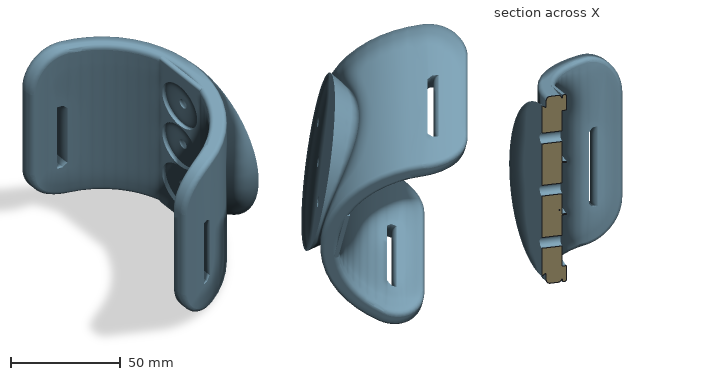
import cadquery as cq
import math

overall_width = 113.9
wall = 8.0
edge_fillet = 2.0
outer_radius = math.hypot(overall_width / 2, edge_fillet)
inner_radius = outer_radius - wall
height = 90.0
corner_radius = 20.0

foot_face_y = 59.0
foot_face_radius = 41.1
foot_depth = 13.7
foot_taper = 0.62
foot_inner_radius = foot_face_radius - foot_taper * foot_depth

pad_width = 28.0
pad_thickness = 2.2
pad_fillet = 1.0
pad_face_y = inner_radius - pad_thickness
hole_diameter = 4.9
pocket_diameter = 24.4
pocket_depth = 2.0
hole_pitch = 25.1

slot_far_y = 18.3
slot_bar_x = 51.3
slot_bar_y = 9.0
slot_bar_radius = 6.2
slot_length = 18.2
slot_height = 38.3
slot_center_z = -8.0
slot_chamfer = 2.0


def make_cuff():
    """Half ring with rounded free corners and softened edges."""
    ring = cq.Workplane("XY").circle(outer_radius).circle(inner_radius).extrude(height / 2, both=True)
    outline = (
        cq.Workplane("YZ")
        .rect(2 * outer_radius, height)
        .extrude(outer_radius, both=True)
        .translate((0, outer_radius, 0))
        .edges("|X and <Y")
        .fillet(corner_radius)
    )
    return ring.intersect(outline).edges("not |X").fillet(edge_fillet)


def make_foot():
    """Cone narrowing from the mounting face, cut away inside the cuff."""
    cone = cq.Workplane(
        cq.Solid.makeCone(
            foot_face_radius, foot_inner_radius, foot_depth,
            pnt=cq.Vector(0, foot_face_y, 0), dir=cq.Vector(0, -1, 0),
        )
    )
    bore = cq.Workplane("XY").circle(inner_radius).extrude(height / 2, both=True)
    return cone.cut(bore)


def make_pad():
    """Slab touching the inner wall, rounded along its top and bottom front edges."""
    slab = cq.Workplane("XY").box(pad_width, pad_thickness, height)
    slab = slab.edges("|X and <Y").fillet(pad_fillet)
    return slab.translate((0, pad_face_y + pad_thickness / 2, 0))


def make_hole(z):
    """Through hole with a shallow round pocket in the pad face."""
    plane = cq.Workplane("XZ", origin=(0, pad_face_y, z))
    pocket = plane.circle(pocket_diameter / 2).extrude(-pocket_depth)
    bore = plane.circle(hole_diameter / 2).extrude(pad_face_y - foot_face_y)
    return pocket.union(bore)


def make_strap_slot(side):
    """Slot through a side wall, chamfered at its far corners, passing over a round bar."""
    slot_width = slot_far_y - slot_bar_y
    slot = cq.Workplane("XY").box(slot_length, slot_width, slot_height)
    slot = slot.edges("|X and >Y").chamfer(slot_chamfer)
    slot = slot.translate((slot_bar_x, slot_bar_y + slot_width / 2, 0))
    bar = (
        cq.Workplane("XY")
        .center(slot_bar_x, slot_bar_y)
        .circle(slot_bar_radius)
        .extrude(slot_height / 2, both=True)
    )
    slot = slot.cut(bar)
    if side < 0:
        slot = slot.mirror("YZ")
    return slot.translate((0, 0, slot_center_z))


result = make_cuff().union(make_foot()).union(make_pad())
for z in (-hole_pitch, 0, hole_pitch):
    result = result.cut(make_hole(z))
for side in (-1, 1):
    result = result.cut(make_strap_slot(side))